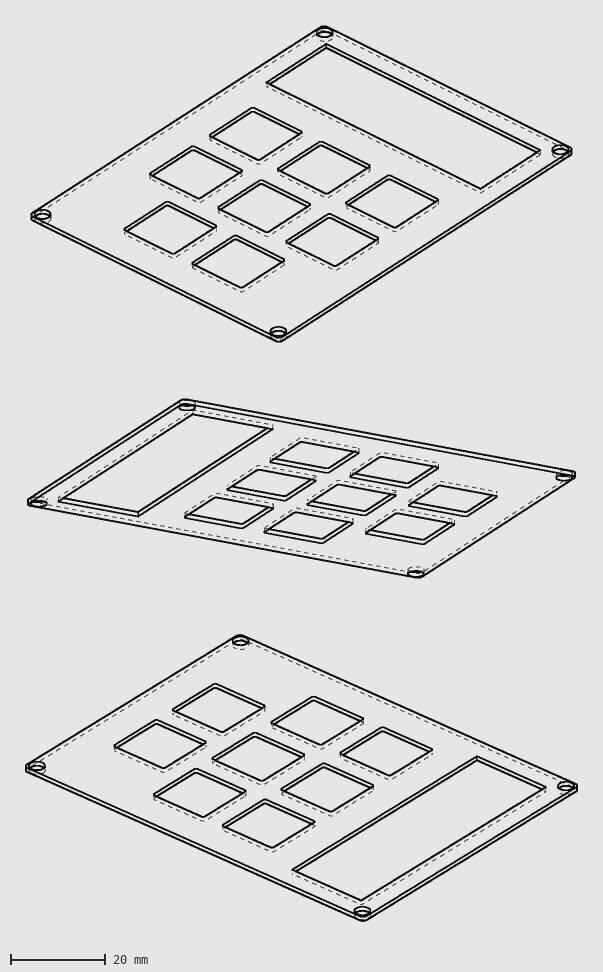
import cadquery as cq

plate_width = 70.0
plate_length = 94.0
plate_thickness = 1.0
corner_radius = 1.0

hole_diameter = 3.4
hole_inset = 2.0

window_width = 60.0
window_height = 19.1
window_center_y = 32.5

key_size = 14.0
key_corner_radius = 0.5
key_pitch = 19.1
top_row_y = 7.1
keys_per_row = [3, 3, 2]


def key_centers():
    """Centres of the key openings, each row centred across the width."""
    centers = []
    for row, count in enumerate(keys_per_row):
        y = top_row_y - row * key_pitch
        for column in range(count):
            x = (column - (count - 1) / 2) * key_pitch
            centers.append((x, y))
    return centers


def make_plate():
    """Flat plate with rounded corners, resting on Z = 0."""
    plate = cq.Workplane("XY").rect(plate_width, plate_length).extrude(plate_thickness)
    return plate.edges("|Z").fillet(corner_radius)


def make_hole_cutter():
    """Cylinders for the corner mounting holes."""
    spacing_x = plate_width - 2 * hole_inset
    spacing_y = plate_length - 2 * hole_inset
    corners = cq.Workplane("XY").rect(spacing_x, spacing_y, forConstruction=True).vertices()
    return corners.circle(hole_diameter / 2).extrude(plate_thickness)


def make_window_cutter():
    """Sharp-cornered block for the display window."""
    center = cq.Workplane("XY").center(0, window_center_y)
    return center.rect(window_width, window_height).extrude(plate_thickness)


def make_key_cutter():
    """Blocks with rounded corners for the key openings."""
    keys = cq.Workplane("XY").pushPoints(key_centers()).rect(key_size, key_size)
    return keys.extrude(plate_thickness).edges("|Z").fillet(key_corner_radius)


result = (
    make_plate()
    .cut(make_hole_cutter())
    .cut(make_window_cutter())
    .cut(make_key_cutter())
)